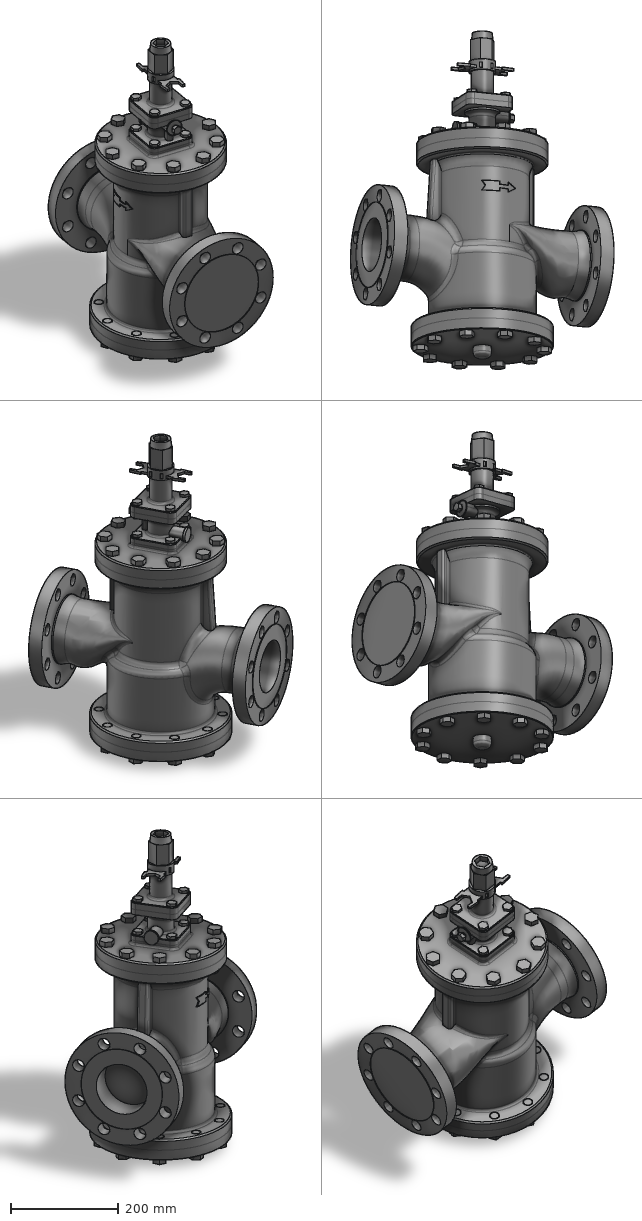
import cadquery as cq
import math


PLUG_BOTTOM = -196.4
PLUG_DOME_START = -187
LOWER_BOLT_HEAD = 10
LOWER_COVER_BOTTOM = -175.5
LOWER_JOINT = -155
LOWER_FLANGE_TOP = -134
SHOULDER_BOTTOM = -19.5
SHOULDER_MIDDLE = -4.5
SHOULDER_TOP = 8.7
FLARE_BOTTOM = 150
FLARE_TOP = 171.5
UPPER_FLANGE_BOTTOM = 174.7
UPPER_JOINT = 195
COVER_TOP = 217
TOP = 428.5

LOWER_RADIUS = 100.5
UPPER_RADIUS = 87.5
FLARE_RADIUS = 93.5
LOWER_FLANGE_RADIUS = 265 / 2
UPPER_FLANGE_RADIUS = 245 / 2
LOWER_FLANGE_CHAMFER = 3
LOWER_COVER_CHAMFER = 1.5
UPPER_FLANGE_CHAMFER = 3
ROOT_FILLET = 5
FLARE_ROOT_FILLET = UPPER_FLANGE_BOTTOM - FLARE_TOP

BOLT_COUNT = 10
BOLT_FLATS = 24
BOLT_HEAD = 10
UPPER_BOLT_CIRCLE = 105
LOWER_BOLT_CIRCLE = 115.5
STUD_RADIUS = 16 / 2
STUD_HOLE_RADIUS = 18 / 2
DRAIN_PLUG_RADIUS = 34 / 2

PIPE_LENGTH = 442
FACE_X = PIPE_LENGTH / 2
PIPE_FLANGE_RADIUS = 225 / 2
RAISED_FACE_RADIUS = 160 / 2
RAISED_FACE = 1.5
PIPE_FLANGE_BACK = 193
PIPE_RADIUS = 62
HUB_RADIUS = 66.5
HUB_LARGE_X = 190
HUB_SMALL_X = 168.3
BORE_RADIUS = 100 / 2
BORE_DEPTH = 50
PIPE_HOLE_COUNT = 8
PIPE_HOLE_DIAMETER = 23
PIPE_HOLE_CIRCLE = 185 / 2
ELBOW_X = 149.5
ELBOW_BEND = 118
ELBOW_FILLET = 16
OUTLET_FILLET = 8

OUTLET_MIDDLE_X = 109
OUTLET_MIDDLE_HALF_WIDTH = 71
OUTLET_MIDDLE_HALF_HEIGHT = 54
OUTLET_ROOT_X = 57
OUTLET_ROOT_Z = 34
OUTLET_ROOT_HALF_WIDTH = 79
OUTLET_ROOT_HALF_HEIGHT = 29
OUTLET_END_X = 15
OUTLET_END_HALF_WIDTH = 86
OUTLET_END_HALF_HEIGHT = 20
OUTLET_END_Z = 37.5

RIB_HALF_WIDTH = 10
RIB_EDGE_FILLET = 4.5
RIB_ROOT_FILLET = 4
LEFT_RIB_TOP_X = 101.5
LEFT_RIB_BOTTOM_X = 109.5
RIB_BOTTOM = 50

ARROW_Z = 112.6
ARROW_HEIGHT = 2
ARROW_TAIL_X = -33
ARROW_NOTCH_X = -27
ARROW_SHAFT_X = 0
ARROW_HEAD_X = 18
ARROW_TIP_X = 34
ARROW_HALF_WIDTH = 9.5
ARROW_SHAFT_HALF_WIDTH = 3.5

PAD_SIZE = 92
PAD_CORNER = 12
PAD_CHAMFER = 1.5
PAD_ROOT_FILLET = 4.5
PAD_JOINT = 226
LOWER_PAD_TOP = 236.5
UPPER_PAD_BOTTOM = 277.8
UPPER_PAD_JOINT = 288.8
UPPER_PAD_TOP = 302.5
PAD_BOLT_OFFSET = 33.5
PAD_BOLT_FLATS = 17
PAD_BOLT_HEAD = 5.5
NECK_RADIUS = 50 / 2
NECK_RIM_RADIUS = 33
NECK_FLARE_BOTTOM = 264
NECK_FLARE_TOP = 274
NECK_ROOT_FILLET = 4
STEM_RADIUS = 42 / 2
STEM_ROOT_FILLET = 5
COLLAR_RADIUS = 50 / 2
COLLAR_BOTTOM = 353.5
COLLAR_TOP = 373.5
CAP_FLATS = 41
CAP_SHOULDER = 414.5
CAP_TIP_RADIUS = 37.5 / 2
SOCKET_FLATS = 25
SOCKET_DEPTH = 12

LEFT_PORT_Z = 239.5
LEFT_PORT_RADIUS = 14
LEFT_PORT_FACE_X = -55
LEFT_PORT_DISC = 5
LEFT_PORT_PIPE_RADIUS = 12.5
RIGHT_PORT_Z = 270.5
RIGHT_PORT_RADIUS = 15
RIGHT_PORT_DISC_RADIUS = 16
RIGHT_PORT_DISC = 2
RIGHT_PORT_FACE_X = 50
PORT_PLUG_FLATS = 15
PORT_PLUG_NECK_RADIUS = 10 / 2
PORT_PLUG_HEAD_X = 53.5
PORT_PLUG_END_X = 61.5
DRAIN_LUG_X = 36.5
DRAIN_LUG_WIDTH = 12
DRAIN_LUG_FILLET = 4

PLATE_BOTTOM = 357
PLATE_TOP = 362
PLATE_HALF_LENGTH = 55.5
PLATE_TIP_HALF_WIDTH = 19
PLATE_HALF_WIDTH = 21
PLATE_SHOULDER_X = 32
PLATE_ROOT_HALF_WIDTH = 17
POCKET_INNER_X = 8.5
POCKET_TOP = 367
JAW_HALF_WIDTH = 13.5
JAW_CORNER_X = 42
JAW_APEX_X = 34


def disc(radius, bottom, top):
    return cq.Workplane("XY").workplane(offset=bottom).circle(radius).extrude(top - bottom)


def disc_along_x(radius, start, end, z):
    return cq.Workplane("YZ", origin=(start, 0, z)).circle(radius).extrude(end - start)


def hex_prism(flats, bottom, top, x=0, y=0, corner_angle=0):
    """Upright hexagonal prism with one corner pointing along corner_angle."""
    prism = cq.Workplane("XY").polygon(6, flats / math.cos(math.pi / 6)).extrude(top - bottom)
    return prism.rotate((0, 0, 0), (0, 0, 1), corner_angle).translate((x, y, bottom))


def ring_positions():
    """Angle in degrees and unit direction of each cover bolt."""
    for index in range(BOLT_COUNT):
        angle = 90 + index * 360 / BOLT_COUNT
        yield angle, math.cos(math.radians(angle)), math.sin(math.radians(angle))


def make_column():
    """Body barrel between the two flanges, as one turned shape."""
    height_low = SHOULDER_MIDDLE - SHOULDER_BOTTOM
    height_high = SHOULDER_TOP - SHOULDER_MIDDLE
    step = LOWER_RADIUS - UPPER_RADIUS
    middle_radius = UPPER_RADIUS + step * height_high / (height_low + height_high)
    flare_step = FLARE_RADIUS - UPPER_RADIUS
    flare_curve = (flare_step**2 + (FLARE_TOP - FLARE_BOTTOM) ** 2) / (2 * flare_step)
    return (
        cq.Workplane("XZ")
        .moveTo(0, LOWER_JOINT)
        .lineTo(LOWER_FLANGE_RADIUS, LOWER_JOINT)
        .lineTo(LOWER_FLANGE_RADIUS, LOWER_FLANGE_TOP - LOWER_FLANGE_CHAMFER)
        .lineTo(LOWER_FLANGE_RADIUS - LOWER_FLANGE_CHAMFER, LOWER_FLANGE_TOP)
        .lineTo(LOWER_RADIUS + ROOT_FILLET, LOWER_FLANGE_TOP)
        .radiusArc((LOWER_RADIUS, LOWER_FLANGE_TOP + ROOT_FILLET), ROOT_FILLET)
        .lineTo(LOWER_RADIUS, SHOULDER_BOTTOM)
        .tangentArcPoint((middle_radius, SHOULDER_MIDDLE), relative=False)
        .tangentArcPoint((UPPER_RADIUS, SHOULDER_TOP), relative=False)
        .lineTo(UPPER_RADIUS, FLARE_BOTTOM)
        .radiusArc((FLARE_RADIUS, FLARE_TOP), flare_curve)
        .radiusArc((FLARE_RADIUS + FLARE_ROOT_FILLET, UPPER_FLANGE_BOTTOM), FLARE_ROOT_FILLET)
        .lineTo(UPPER_FLANGE_RADIUS - UPPER_FLANGE_CHAMFER, UPPER_FLANGE_BOTTOM)
        .lineTo(UPPER_FLANGE_RADIUS, UPPER_FLANGE_BOTTOM + UPPER_FLANGE_CHAMFER)
        .lineTo(UPPER_FLANGE_RADIUS, UPPER_JOINT)
        .lineTo(0, UPPER_JOINT)
        .close()
        .revolve(360, (0, 0, 0), (0, 1, 0))
    )


def make_elbow():
    """Inlet pipe that turns down into the lower barrel."""
    straight = disc_along_x(PIPE_RADIUS, -HUB_SMALL_X, -ELBOW_X, 0)
    bend = (
        cq.Workplane("YZ", origin=(-ELBOW_X, 0, 0))
        .circle(PIPE_RADIUS)
        .revolve(90, (0, -ELBOW_BEND, 0), (1, -ELBOW_BEND, 0))
    )
    return straight.union(bend)


def make_outlet():
    """Outlet neck lofted from the round pipe to a flat, wide end inside the body."""
    middle_z = PIPE_RADIUS - OUTLET_MIDDLE_HALF_HEIGHT
    return (
        cq.Workplane("YZ", origin=(OUTLET_END_X, 0, 0))
        .center(0, OUTLET_END_Z)
        .ellipse(OUTLET_END_HALF_WIDTH, OUTLET_END_HALF_HEIGHT)
        .workplane(offset=OUTLET_ROOT_X - OUTLET_END_X)
        .center(0, OUTLET_ROOT_Z - OUTLET_END_Z)
        .ellipse(OUTLET_ROOT_HALF_WIDTH, OUTLET_ROOT_HALF_HEIGHT)
        .workplane(offset=OUTLET_MIDDLE_X - OUTLET_ROOT_X)
        .center(0, middle_z - OUTLET_ROOT_Z)
        .ellipse(OUTLET_MIDDLE_HALF_WIDTH, OUTLET_MIDDLE_HALF_HEIGHT)
        .workplane(offset=HUB_SMALL_X - OUTLET_MIDDLE_X)
        .center(0, -middle_z)
        .ellipse(PIPE_RADIUS, PIPE_RADIUS)
        .loft(combine=True)
    )


def make_rib(top_x, bottom_x):
    """Upright rib under the upper flange, on the -X side."""
    outline = [
        (0, UPPER_FLANGE_BOTTOM),
        (-top_x, UPPER_FLANGE_BOTTOM),
        (-bottom_x, RIB_BOTTOM),
        (0, RIB_BOTTOM),
    ]
    rib = cq.Workplane("XZ").polyline(outline).close().extrude(RIB_HALF_WIDTH, both=True)
    return rib.faces("<X").edges("not |Y").fillet(RIB_EDGE_FILLET)


def make_ribbed_barrel():
    """Upper barrel with a rib on each side, blended along the rib roots."""
    barrel = disc(UPPER_RADIUS, RIB_BOTTOM, UPPER_FLANGE_BOTTOM)
    barrel = barrel.union(make_rib(LEFT_RIB_TOP_X, LEFT_RIB_BOTTOM_X))
    barrel = barrel.union(make_rib(LOWER_RADIUS, LOWER_RADIUS).mirror("YZ"))
    root_x = math.sqrt(UPPER_RADIUS**2 - RIB_HALF_WIDTH**2)
    roots = cq.selectors.BoxSelector(
        (-root_x - 1, -RIB_HALF_WIDTH - 1, RIB_BOTTOM), (root_x + 1, RIB_HALF_WIDTH + 1, UPPER_FLANGE_BOTTOM)
    )
    return barrel.edges("|Z").edges(roots).fillet(RIB_ROOT_FILLET)


def make_pipe_flange():
    """Flange and tapered hub on the -X side."""
    hub_run = HUB_LARGE_X - HUB_SMALL_X
    hub_rise = HUB_RADIUS - PIPE_RADIUS
    hub_curve = (hub_run**2 + hub_rise**2) / (2 * hub_rise)
    flange = (
        cq.Workplane("XY")
        .moveTo(-FACE_X, 0)
        .lineTo(-FACE_X, RAISED_FACE_RADIUS)
        .lineTo(-FACE_X + RAISED_FACE, RAISED_FACE_RADIUS)
        .lineTo(-FACE_X + RAISED_FACE, PIPE_FLANGE_RADIUS)
        .lineTo(-PIPE_FLANGE_BACK, PIPE_FLANGE_RADIUS)
        .lineTo(-PIPE_FLANGE_BACK, HUB_RADIUS)
        .lineTo(-HUB_LARGE_X, HUB_RADIUS)
        .radiusArc((-HUB_SMALL_X, PIPE_RADIUS), -hub_curve)
        .lineTo(-HUB_SMALL_X, 0)
        .close()
        .revolve(360, (0, 0, 0), (1, 0, 0))
    )
    holes = (
        cq.Workplane("YZ", origin=(-FACE_X, 0, 0))
        .polarArray(PIPE_HOLE_CIRCLE, 180 / PIPE_HOLE_COUNT, 360, PIPE_HOLE_COUNT)
        .circle(PIPE_HOLE_DIAMETER / 2)
        .extrude(FACE_X - PIPE_FLANGE_BACK)
    )
    return flange.cut(holes)


def make_flow_arrow():
    """Raised flow arrow on the front of the upper barrel."""
    outline = [
        (ARROW_TAIL_X, ARROW_HALF_WIDTH),
        (ARROW_SHAFT_X, ARROW_HALF_WIDTH),
        (ARROW_SHAFT_X, ARROW_SHAFT_HALF_WIDTH),
        (ARROW_HEAD_X, ARROW_SHAFT_HALF_WIDTH),
        (ARROW_HEAD_X, ARROW_HALF_WIDTH),
        (ARROW_TIP_X, 0),
        (ARROW_HEAD_X, -ARROW_HALF_WIDTH),
        (ARROW_HEAD_X, -ARROW_SHAFT_HALF_WIDTH),
        (ARROW_SHAFT_X, -ARROW_SHAFT_HALF_WIDTH),
        (ARROW_SHAFT_X, -ARROW_HALF_WIDTH),
        (ARROW_TAIL_X, -ARROW_HALF_WIDTH),
        (ARROW_NOTCH_X, 0),
    ]
    outer_radius = UPPER_RADIUS + ARROW_HEIGHT
    prism = cq.Workplane("XZ", origin=(0, 0, ARROW_Z)).polyline(outline).close().extrude(outer_radius)
    return prism.intersect(disc(outer_radius, SHOULDER_TOP, FLARE_BOTTOM))


def make_lower_cover():
    """Bottom cover with its bolt heads and the domed drain plug."""
    cover = disc(LOWER_FLANGE_RADIUS, LOWER_COVER_BOTTOM, LOWER_JOINT)
    cover = cover.faces("<Z").edges().chamfer(LOWER_COVER_CHAMFER)
    plug = disc(DRAIN_PLUG_RADIUS, PLUG_BOTTOM, LOWER_COVER_BOTTOM)
    plug = plug.faces("<Z").edges().fillet(PLUG_DOME_START - PLUG_BOTTOM)
    cover = cover.union(plug)
    for angle, along_x, along_y in ring_positions():
        x, y = LOWER_BOLT_CIRCLE * along_x, LOWER_BOLT_CIRCLE * along_y
        head = hex_prism(BOLT_FLATS, LOWER_COVER_BOTTOM - LOWER_BOLT_HEAD, LOWER_COVER_BOTTOM, x, y, angle)
        cover = cover.union(head)
    return cover


def make_stud_gaps():
    """Ring-shaped clearance around each bolt in the lower body flange."""
    points = [(LOWER_BOLT_CIRCLE * x, LOWER_BOLT_CIRCLE * y) for _, x, y in ring_positions()]
    plane = cq.Workplane("XY").workplane(offset=LOWER_JOINT).pushPoints(points)
    depth = LOWER_FLANGE_TOP - LOWER_JOINT
    return plane.circle(STUD_HOLE_RADIUS).circle(STUD_RADIUS).extrude(depth)


def make_pad(bottom, top):
    pad = cq.Workplane("XY").workplane(offset=bottom).rect(PAD_SIZE, PAD_SIZE).extrude(top - bottom)
    return pad.edges("|Z").fillet(PAD_CORNER)


def make_upper_cover():
    """Top cover with its bolt heads and the raised pad under the pilot valve."""
    cover = disc(UPPER_FLANGE_RADIUS, UPPER_JOINT, COVER_TOP).faces(">Z").edges().chamfer(UPPER_FLANGE_CHAMFER)
    cover = cover.union(make_pad(COVER_TOP, PAD_JOINT))
    pad_root = cq.selectors.BoxSelector(
        (-PAD_SIZE, -PAD_SIZE, COVER_TOP - 1), (PAD_SIZE, PAD_SIZE, COVER_TOP + 1), boundingbox=True
    )
    cover = cover.edges(pad_root).fillet(PAD_ROOT_FILLET)
    for angle, along_x, along_y in ring_positions():
        x, y = UPPER_BOLT_CIRCLE * along_x, UPPER_BOLT_CIRCLE * along_y
        cover = cover.union(hex_prism(BOLT_FLATS, COVER_TOP, COVER_TOP + BOLT_HEAD, x, y, angle))
    return cover


def make_pad_bolts(bottom):
    bolts = cq.Workplane("XY")
    for x in (-PAD_BOLT_OFFSET, PAD_BOLT_OFFSET):
        for y in (-PAD_BOLT_OFFSET, PAD_BOLT_OFFSET):
            bolts = bolts.add(hex_prism(PAD_BOLT_FLATS, bottom, bottom + PAD_BOLT_HEAD, x, y))
    return bolts.combine()


def make_stem():
    """Neck, stem tube and collar of the pilot valve, as one turned shape."""
    flare = NECK_RIM_RADIUS - NECK_RADIUS
    flare_curve = (flare**2 + (NECK_FLARE_TOP - NECK_FLARE_BOTTOM) ** 2) / (2 * flare)
    return (
        cq.Workplane("XZ")
        .moveTo(0, LOWER_PAD_TOP)
        .lineTo(NECK_RADIUS + NECK_ROOT_FILLET, LOWER_PAD_TOP)
        .radiusArc((NECK_RADIUS, LOWER_PAD_TOP + NECK_ROOT_FILLET), NECK_ROOT_FILLET)
        .lineTo(NECK_RADIUS, NECK_FLARE_BOTTOM)
        .radiusArc((NECK_RIM_RADIUS, NECK_FLARE_TOP), flare_curve)
        .lineTo(NECK_RIM_RADIUS, UPPER_PAD_BOTTOM)
        .lineTo(0, UPPER_PAD_BOTTOM)
        .close()
        .moveTo(0, UPPER_PAD_TOP)
        .lineTo(STEM_RADIUS + STEM_ROOT_FILLET, UPPER_PAD_TOP)
        .radiusArc((STEM_RADIUS, UPPER_PAD_TOP + STEM_ROOT_FILLET), STEM_ROOT_FILLET)
        .lineTo(STEM_RADIUS, COLLAR_BOTTOM)
        .lineTo(COLLAR_RADIUS, COLLAR_BOTTOM)
        .lineTo(COLLAR_RADIUS, COLLAR_TOP)
        .lineTo(0, COLLAR_TOP)
        .close()
        .revolve(360, (0, 0, 0), (0, 1, 0))
    )


def make_collar_pockets():
    """Flats on the front and back of the collar, beside each arm of the spanner plate."""
    width = COLLAR_RADIUS - POCKET_INNER_X
    center_x = (COLLAR_RADIUS + POCKET_INNER_X) / 2
    depth = COLLAR_RADIUS - PLATE_HALF_WIDTH
    center_y = (COLLAR_RADIUS + PLATE_HALF_WIDTH) / 2
    return (
        cq.Workplane("XY")
        .workplane(offset=PLATE_BOTTOM)
        .rarray(2 * center_x, 2 * center_y, 2, 2)
        .rect(width, depth)
        .extrude(POCKET_TOP - PLATE_BOTTOM)
    )


def make_cap():
    """Hexagonal cap with a tapered tip and a hexagonal socket."""
    tip = (
        cq.Workplane("XY")
        .workplane(offset=CAP_SHOULDER)
        .circle(CAP_FLATS / 2)
        .workplane(offset=TOP - CAP_SHOULDER)
        .circle(CAP_TIP_RADIUS)
        .loft()
    )
    body = hex_prism(CAP_FLATS, COLLAR_TOP, CAP_SHOULDER)
    return body.union(tip).cut(hex_prism(SOCKET_FLATS, TOP - SOCKET_DEPTH, TOP))


def make_spanner_plate():
    """Flat plate with an open jaw at each end."""
    side = [
        (PLATE_SHOULDER_X, PLATE_ROOT_HALF_WIDTH),
        (PLATE_SHOULDER_X, PLATE_HALF_WIDTH),
        (PLATE_HALF_LENGTH, PLATE_TIP_HALF_WIDTH),
        (PLATE_HALF_LENGTH, JAW_HALF_WIDTH),
        (JAW_CORNER_X, JAW_HALF_WIDTH),
    ]
    lower_side = [(x, -y) for x, y in reversed(side)]
    outline = [(0, PLATE_ROOT_HALF_WIDTH), *side, (JAW_APEX_X, 0), *lower_side, (0, -PLATE_ROOT_HALF_WIDTH)]
    plane = cq.Workplane("XY").workplane(offset=PLATE_BOTTOM)
    half = plane.polyline(outline).close().extrude(PLATE_TOP - PLATE_BOTTOM)
    return half.union(half.mirror("YZ"))


def make_left_port():
    pipe = disc_along_x(LEFT_PORT_PIPE_RADIUS, LEFT_PORT_FACE_X, 0, LEFT_PORT_Z)
    rim = disc_along_x(LEFT_PORT_RADIUS, LEFT_PORT_FACE_X, LEFT_PORT_FACE_X + LEFT_PORT_DISC, LEFT_PORT_Z)
    return pipe.union(rim)


def make_right_port():
    """Round-bottomed boss under the upper pad, with an end disc, a hexagonal plug and a lug below."""
    boss = disc_along_x(RIGHT_PORT_RADIUS, 0, RIGHT_PORT_FACE_X, RIGHT_PORT_Z)
    disc_start = RIGHT_PORT_FACE_X - RIGHT_PORT_DISC
    end_disc = disc_along_x(RIGHT_PORT_DISC_RADIUS, disc_start, RIGHT_PORT_FACE_X, RIGHT_PORT_Z)
    bridge_height = UPPER_PAD_BOTTOM - RIGHT_PORT_Z
    bridge = cq.Workplane("XY").box(
        disc_start, 2 * RIGHT_PORT_RADIUS, bridge_height, centered=(False, True, False)
    )
    bridge = bridge.translate((0, 0, RIGHT_PORT_Z))
    plug_neck = disc_along_x(PORT_PLUG_NECK_RADIUS, RIGHT_PORT_FACE_X, PORT_PLUG_HEAD_X, RIGHT_PORT_Z)
    plug_head = (
        cq.Workplane("YZ", origin=(PORT_PLUG_HEAD_X, 0, RIGHT_PORT_Z))
        .polygon(6, PORT_PLUG_FLATS, circumscribed=True)
        .extrude(PORT_PLUG_END_X - PORT_PLUG_HEAD_X)
    )
    lug_height = RIGHT_PORT_Z - LOWER_PAD_TOP
    lug = cq.Workplane("XY").box(DRAIN_LUG_X, DRAIN_LUG_WIDTH, lug_height, centered=(False, True, False))
    lug = lug.translate((0, 0, LOWER_PAD_TOP))
    lug = lug.edges("|Z and >X").fillet(DRAIN_LUG_FILLET)
    return boss.union(bridge).union(end_disc).union(plug_neck).union(plug_head).union(lug)


def make_casting():
    """Body barrel with its ribs and pipe necks blended in."""
    column = make_column().union(make_elbow())
    neck_seam = cq.selectors.BoxSelector(
        (-ELBOW_X, -PIPE_RADIUS, -ELBOW_BEND), (-ELBOW_X / 3, PIPE_RADIUS, PIPE_RADIUS)
    )
    column = column.edges(neck_seam).edges("not %CIRCLE").edges("not %LINE").fillet(ELBOW_FILLET)
    column = column.union(make_outlet())
    outlet_seam = cq.selectors.BoxSelector(
        (OUTLET_END_X, -OUTLET_END_HALF_WIDTH, -LOWER_RADIUS), (LOWER_RADIUS, OUTLET_END_HALF_WIDTH, PIPE_RADIUS)
    )
    column = column.edges(outlet_seam).edges("not %CIRCLE").edges("not %LINE").fillet(OUTLET_FILLET)
    return column.union(make_ribbed_barrel())


def make_pilot_valve():
    """Pilot valve from its lower pad to the cap."""
    valve = make_pad(PAD_JOINT, LOWER_PAD_TOP).faces(">Z").edges().chamfer(PAD_CHAMFER)
    parts = [
        make_pad_bolts(LOWER_PAD_TOP),
        make_stem().cut(make_collar_pockets()),
        make_pad(UPPER_PAD_BOTTOM, UPPER_PAD_JOINT),
        make_pad(UPPER_PAD_JOINT, UPPER_PAD_TOP).faces(">Z").edges().chamfer(PAD_CHAMFER),
        make_pad_bolts(UPPER_PAD_TOP),
        make_cap(),
        make_spanner_plate(),
        make_left_port().union(make_right_port()),
    ]
    for part in parts:
        valve = valve.union(part, clean=False)
    return valve


inlet_flange = make_pipe_flange()
outlet_flange = inlet_flange.mirror("YZ")
body = make_casting()
for part in (inlet_flange, outlet_flange, make_flow_arrow()):
    body = body.union(part)
body = body.cut(make_stud_gaps())

for part in (make_lower_cover(), make_upper_cover(), make_pilot_valve()):
    body = body.union(part, clean=False)
result = body.cut(disc_along_x(BORE_RADIUS, -FACE_X, BORE_DEPTH - FACE_X, 0), clean=False)